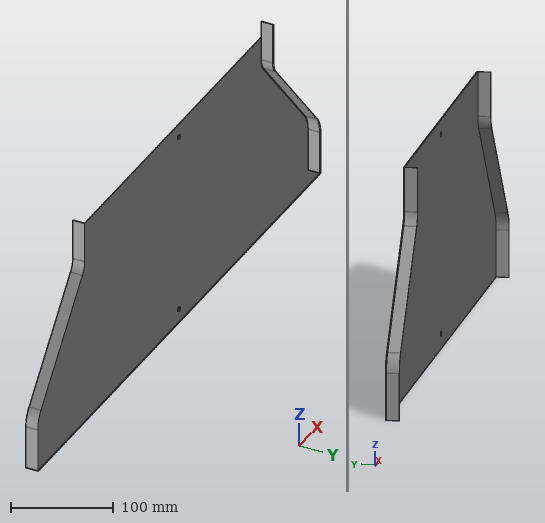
import cadquery as cq

width = 602.0
depth = 14.0
height = 230.0
sheet = 1.0

neck_width = 402.0
shoulder_bottom = 58.5
shoulder_top = 178.0
lower_bend_radius = 30.0
upper_bend_radius = 20.0

hole_diameter = 5.0
hole_edge_distance = 15.0


def outline_prism(length, overrun=0.0):
    """Plate outline extruded toward -Y, optionally overrunning its straight ends."""
    bottom = -overrun
    top = height + overrun
    right_side = [
        (width / 2, bottom),
        (width / 2, shoulder_bottom),
        (neck_width / 2, shoulder_top),
        (neck_width / 2, top),
    ]
    left_side = [(-x, z) for x, z in reversed(right_side)]
    prism = cq.Workplane("XZ").polyline(right_side + left_side).close().extrude(length)
    for z, radius in ((shoulder_bottom, lower_bend_radius), (shoulder_top, upper_bend_radius)):
        middle_band = cq.selectors.BoxSelector(
            (-width, -depth, z - sheet), (width, depth, z + sheet)
        )
        prism = prism.edges("|Y").edges(middle_band).fillet(radius)
    return prism


flange_height = depth - sheet
hollow = (
    outline_prism(flange_height, overrun=depth)
    .faces("<Y")
    .wires()
    .toPending()
    .workplane()
    .offset2D(-sheet)
    .extrude(-flange_height, combine=False)
    .translate((0, -sheet, 0))
)
tray = outline_prism(depth).cut(hollow)

hole_positions = [(0, hole_edge_distance), (0, height - hole_edge_distance)]
holes = (
    cq.Workplane("XZ")
    .pushPoints(hole_positions)
    .circle(hole_diameter / 2)
    .extrude(depth)
)

result = tray.cut(holes)